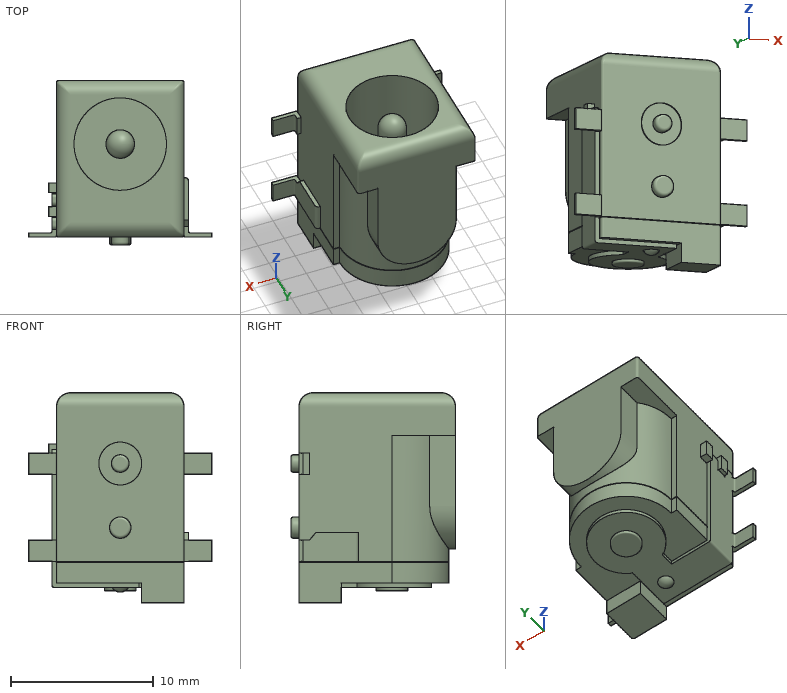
import cadquery as cq


height = 14.8
width = 9.0
depth = 11.04
half_width = width / 2
joint_z = 2.9
clearance = 0.05
cap_top_z = joint_z - clearance
cap_bottom_z = 1.39
mouth_round = 1.0
edge_round = 0.18

axis_y = 6.55
bore_radius = 3.25
barrel_radius = 4.01
saddle_radius = 3.0
collar_height = 3.0
collar_bottom_z = height - collar_height
saddle_center_z = 6.8

peg_length = 0.56
peg_tip_round = 0.19
upper_peg_z = 9.81
upper_peg_radius = 0.62
lower_peg_z = 5.3
lower_peg_radius = 0.75
gate_radius = 1.51
gate_depth = 0.09

sheet = 0.31
lead_span = 12.9
lead_height = 1.5
upper_lead_z = 9.05
lower_lead_z = 2.93
bend_round = 0.1
flange_back_y = 0.75

hook_reach = 0.55
hook_width = 0.7
hook_height = 1.39
hook_bottom_z = 9.8
hook_start_ys = (1.45, 3.14)

leaf_front_y = 0.53
leaf_back_y = 3.06
leaf_top_z = 10.8
finger_round = 0.3
strap_end_x = 1.33
disc_radius = 2.8
leaf_bend_round = 0.16
leaf_outer_x = -half_width - sheet
strap_bottom_z = cap_bottom_z - sheet

tab_top_z = 4.96
tab_back_y = 4.2
tab_slope_y = 1.2
tab_back_round = 0.27

pin_radius = 1.0
pin_tip_z = 13.8
rivet_radius = 1.12
rivet_height = 0.24
rivet_round = 0.09
dome_radius = 0.58
dome_height = 0.33
dome_y = 2.01

foot_width = 3.0
foot_depth = 3.0


def box(x0, x1, y0, y1, z0, z1):
    """Block between two corners."""
    return cq.Workplane("XY").box(x1 - x0, y1 - y0, z1 - z0, centered=False).translate((x0, y0, z0))


def upright_cylinder(radius, y, z0, z1):
    """Cylinder along Z on the middle plane X = 0."""
    return cq.Workplane("XY", origin=(0, y, z0)).circle(radius).extrude(z1 - z0)


def front_block(z0, z1):
    """Front half of the moulding, with its two front edges rounded."""
    block = box(-half_width, half_width, 0, axis_y, z0, z1)
    return block.edges("|Z and <Y").fillet(edge_round)


def collar():
    """Rectangular mouth block with rounded rim and corners."""
    block = box(-half_width, half_width, 0, depth, collar_bottom_z, height)
    block = block.faces(">Z").edges().fillet(mouth_round)
    return block.edges("|Z").fillet(edge_round)


def saddle():
    """Round-bottomed block that fills the space behind the barrel."""
    profile = (
        cq.Workplane("XZ", origin=(0, depth, 0))
        .moveTo(-saddle_radius, collar_bottom_z)
        .lineTo(-saddle_radius, saddle_center_z)
        .threePointArc((0, saddle_center_z - saddle_radius), (saddle_radius, saddle_center_z))
        .lineTo(saddle_radius, collar_bottom_z)
        .close()
    )
    return profile.extrude(depth - axis_y)


def peg(z, radius, root_y):
    """Locating peg with a rounded tip, standing out from the plane Y = root_y."""
    pin = cq.Workplane("XZ", origin=(0, root_y, z)).circle(radius).extrude(peg_length + root_y)
    return pin.faces("<Y").edges().fillet(peg_tip_round)


def lead(side, z):
    """Bent solder lead: a foot in the mounting plane and a flange on the flank (side -1 left, 1 right)."""
    inner = half_width
    outer = half_width + sheet
    lead_end = lead_span / 2
    middle_z = z + lead_height / 2
    profile = (
        cq.Workplane("XY", origin=(0, 0, z))
        .moveTo(side * inner, flange_back_y)
        .lineTo(side * inner, 0)
        .lineTo(side * lead_end, 0)
        .lineTo(side * lead_end, sheet)
        .lineTo(side * outer, sheet)
        .lineTo(side * outer, flange_back_y)
        .close()
    )
    bent = profile.extrude(lead_height)
    outside_bend = cq.selectors.NearestToPointSelector((side * inner, 0, middle_z))
    inside_bend = cq.selectors.NearestToPointSelector((side * outer, sheet, middle_z))
    bent = bent.edges("|Z").edges(outside_bend).fillet(bend_round)
    return bent.edges("|Z").edges(inside_bend).fillet(bend_round)


def right_tab():
    """Tab above the lower right lead, with a sloped front edge and a rounded back edge."""
    profile = (
        cq.Workplane("YZ", origin=(half_width, 0, 0))
        .moveTo(sheet, joint_z)
        .lineTo(tab_back_y, joint_z)
        .lineTo(tab_back_y, tab_top_z)
        .lineTo(tab_slope_y, tab_top_z)
        .lineTo(flange_back_y, lower_lead_z + lead_height)
        .lineTo(sheet, lower_lead_z + lead_height)
        .close()
    )
    return profile.extrude(sheet).edges("|Z and >X and >Y").fillet(tab_back_round)


def make_housing():
    """Upper moulding with its pegs, hooks and the right contact."""
    body = front_block(joint_z, collar_bottom_z).union(collar()).union(saddle())
    body = body.union(upright_cylinder(barrel_radius, axis_y, joint_z, collar_bottom_z))
    body = body.cut(upright_cylinder(bore_radius, axis_y, joint_z, height))
    gate = cq.Workplane("XZ", origin=(0, 0, upper_peg_z)).circle(gate_radius).extrude(-gate_depth)
    body = body.cut(gate)
    body = body.union(peg(upper_peg_z, upper_peg_radius, gate_depth))
    body = body.union(peg(lower_peg_z, lower_peg_radius, 0))
    hook_top_z = hook_bottom_z + hook_height
    for y in hook_start_ys:
        body = body.union(
            box(-half_width - hook_reach, -half_width, y, y + hook_width, hook_bottom_z, hook_top_z)
        )
    body = body.union(lead(1, upper_lead_z))
    body = body.union(lead(1, lower_lead_z))
    return body.union(right_tab())


def leaf():
    """Upright leaf with two round-cornered fingers either side of the front hook."""
    slot_front = hook_start_ys[0] - clearance
    slot_back = hook_start_ys[0] + hook_width + clearance
    slot_bottom = hook_bottom_z - clearance
    profile = (
        cq.Workplane("YZ", origin=(leaf_outer_x, 0, 0))
        .moveTo(leaf_front_y, strap_bottom_z)
        .lineTo(leaf_front_y, leaf_top_z)
        .lineTo(slot_front, leaf_top_z)
        .lineTo(slot_front, slot_bottom)
        .lineTo(slot_back, slot_bottom)
        .lineTo(slot_back, leaf_top_z)
        .lineTo(leaf_back_y, leaf_top_z)
        .lineTo(leaf_back_y, strap_bottom_z)
        .close()
    )
    return profile.extrude(sheet).faces(">Z").edges("|X").fillet(finger_round)


def strap():
    """Flat strap under the cap, from the leaf to the disc around the pin."""
    bar = box(leaf_outer_x, strap_end_x, leaf_front_y, leaf_back_y, strap_bottom_z, cap_bottom_z)
    neck = box(-strap_end_x, strap_end_x, leaf_front_y, axis_y, strap_bottom_z, cap_bottom_z)
    return bar.union(neck).union(upright_cylinder(disc_radius, axis_y, strap_bottom_z, cap_bottom_z))


def dome():
    """Domed rivet head under the strap."""
    sphere_radius = (dome_radius**2 + dome_height**2) / (2 * dome_height)
    sphere_z = strap_bottom_z - dome_height + sphere_radius
    ball = cq.Workplane("XY", origin=(0, dome_y, sphere_z)).sphere(sphere_radius)
    return ball.intersect(upright_cylinder(dome_radius, dome_y, strap_bottom_z - dome_height, strap_bottom_z))


def center_pin():
    """Pin on the bore axis with a hemispherical tip."""
    tip_center_z = pin_tip_z - pin_radius
    tip = cq.Workplane("XY", origin=(0, axis_y, tip_center_z)).sphere(pin_radius)
    return upright_cylinder(pin_radius, axis_y, cap_top_z, tip_center_z).union(tip)


def make_end_cap():
    """Lower moulding with its foot, centre pin and the left contact."""
    body = front_block(cap_bottom_z, cap_top_z)
    body = body.union(upright_cylinder(barrel_radius, axis_y, cap_bottom_z, cap_top_z))
    foot = box(half_width - foot_width, half_width, 0, foot_depth, 0, cap_top_z)
    body = body.union(foot.edges("|Z and >X and <Y").fillet(edge_round))
    body = body.union(center_pin())
    contact = leaf().union(strap())
    contact = contact.edges("|Y and <X and <Z").fillet(leaf_bend_round)
    for z in (upper_lead_z, lower_lead_z):
        contact = contact.union(lead(-1, z))
    rivet = upright_cylinder(rivet_radius, axis_y, strap_bottom_z - rivet_height, strap_bottom_z)
    contact = contact.union(rivet.faces("<Z").edges().fillet(rivet_round)).union(dome())
    return body.union(contact)


housing = make_housing()
end_cap = make_end_cap()
result = cq.Compound.makeCompound([housing.val(), end_cap.val()])